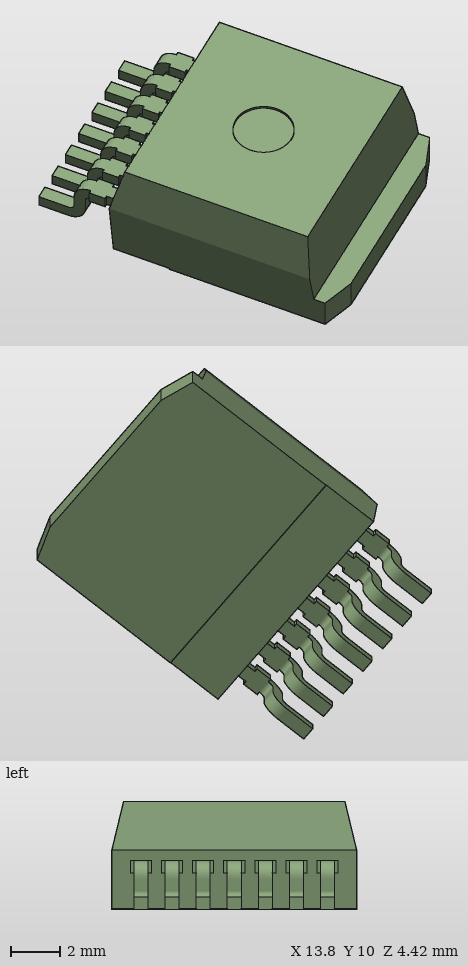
import cadquery as cq

overall_length = 13.85
body_width = 10.0
overall_height = 4.42

standoff = 0.05
parting_height = 2.43
body_left = 3.6
left_undercut = 0.19
top_inset = 0.48
top_right = 12.34
body_right = 12.84

mark_diameter = 2.5
mark_depth = 0.1

plate_thickness = 1.3
plate_left = 6.3
tab_corner_length = 0.5
tab_corner_width = 1.43

lead_count = 7
lead_pitch = 1.27
lead_width = 0.58
lead_thickness = 0.51
lead_top = 2.01
foot_length = 1.35
inner_radius = 0.24
outer_radius = inner_radius + lead_thickness
shoulder_length = 0.72
shoulder_width = 0.86
lead_embed = 0.5

riser_left = foot_length + inner_radius
riser_right = riser_left + lead_thickness
shoulder_left = riser_left + outer_radius
tab_face_lean = (body_right - top_right) / (overall_height - plate_thickness)
parting_right = top_right + tab_face_lean * (overall_height - parting_height)


def make_lower_body():
    """Side profile below the parting height, extruded across the full width."""
    return (
        cq.Workplane("XZ")
        .moveTo(body_left + left_undercut, standoff)
        .lineTo(body_right, standoff)
        .lineTo(body_right, plate_thickness)
        .lineTo(parting_right, parting_height)
        .lineTo(body_left, parting_height)
        .close()
        .extrude(body_width / 2, both=True)
    )


def make_upper_body():
    """Tapered block between the parting outline and the top face."""
    top_left = body_left + top_inset
    top_width = body_width - 2 * top_inset
    parting_center = (body_left + parting_right) / 2
    top_center = (top_left + top_right) / 2
    block = (
        cq.Workplane("XY", origin=(parting_center, 0, parting_height))
        .rect(parting_right - body_left, body_width)
        .workplane(offset=overall_height - parting_height)
        .center(top_center - parting_center, 0)
        .rect(top_right - top_left, top_width)
        .loft(ruled=True)
    )
    mark = (
        cq.Workplane("XY", origin=(top_center, 0, overall_height - mark_depth))
        .circle(mark_diameter / 2)
        .extrude(mark_depth)
    )
    return block.cut(mark)


def make_plate():
    """Heat-sink plate with the two outer corners of its tab cut off."""
    half_width = body_width / 2
    corner_x = overall_length - tab_corner_length
    corner_y = half_width - tab_corner_width
    return (
        cq.Workplane("XY")
        .moveTo(plate_left, -half_width)
        .lineTo(corner_x, -half_width)
        .lineTo(overall_length, -corner_y)
        .lineTo(overall_length, corner_y)
        .lineTo(corner_x, half_width)
        .lineTo(plate_left, half_width)
        .close()
        .extrude(plate_thickness)
    )


def make_lead():
    """One lead centred on Y = 0: foot, two bends, and the stub entering the body."""
    lead_bottom = lead_top - lead_thickness
    lead_end = body_left + lead_embed
    strip = (
        cq.Workplane("XZ")
        .moveTo(0, 0)
        .lineTo(foot_length, 0)
        .radiusArc((riser_right, outer_radius), -outer_radius)
        .lineTo(riser_right, lead_bottom - inner_radius)
        .radiusArc((shoulder_left, lead_bottom), inner_radius)
        .lineTo(lead_end, lead_bottom)
        .lineTo(lead_end, lead_top)
        .lineTo(shoulder_left, lead_top)
        .radiusArc((riser_left, lead_top - outer_radius), -outer_radius)
        .lineTo(riser_left, lead_thickness + inner_radius)
        .radiusArc((foot_length, lead_thickness), inner_radius)
        .lineTo(0, lead_thickness)
        .close()
        .extrude(lead_width / 2, both=True)
    )
    shoulder = cq.Workplane("XY", origin=(shoulder_left, 0, lead_bottom)).box(
        shoulder_length, shoulder_width, lead_thickness, centered=(False, True, False)
    )
    return strip.union(shoulder)


result = make_lower_body().union(make_upper_body()).union(make_plate())
lead = make_lead()
for index in range(lead_count):
    lead_y = (index - (lead_count - 1) / 2) * lead_pitch
    result = result.union(lead.translate((0, lead_y, 0)))